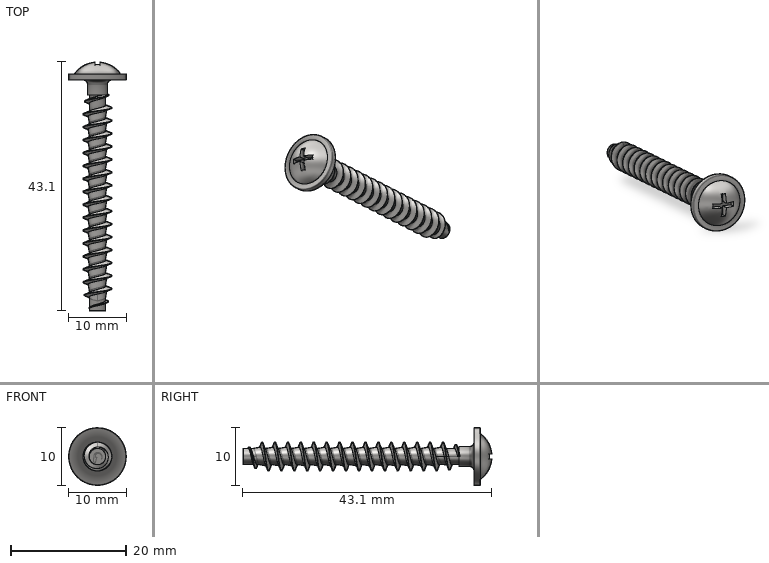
import cadquery as cq
import math


SCREW_LENGTH = 40.0
HEAD_HEIGHT = 3.15
FLANGE_RADIUS = 5.0
FLANGE_THICKNESS = 1.1
FLANGE_EDGE_ROUND = 0.1
DOME_RADIUS = 4.0

RECESS_SPAN = 4.0
RECESS_WING_WIDTH = 0.8
RECESS_DEPTH = 1.5

SHANK_RADIUS = 1.75
SHANK_LENGTH = 2.6
NECK_ROUND = 0.7

CORE_RADIUS = 1.42
THREAD_RADIUS = 2.5
START_RADIUS = 2.0
PITCH = 2.24
THREAD_START = 2.55
RUN_IN_TURNS = 1.0
MAIN_TURNS = 14.25
RUN_OUT_TURNS = 1.45
RUN_OUT_TAPER = 20.3
CREST_WIDTH = 0.1
FLANK_ANGLE = 20.0
ROOT_RADIUS = 1.64
ROOT_DEPTH = 0.04
TURN_GAP = 0.02
NO_TAPER = 360.0


def revolve(outline):
    """Turn a half outline drawn in the XZ plane about the Z axis."""
    return outline.close().revolve(360, (0, 0, 0), (0, 1, 0))


def make_head():
    sphere_radius = dome_sphere_radius()
    flange = (
        cq.Workplane("XY")
        .circle(FLANGE_RADIUS)
        .extrude(-FLANGE_THICKNESS)
        .edges()
        .fillet(FLANGE_EDGE_ROUND)
    )
    middle_angle = 0.5 * math.asin(DOME_RADIUS / sphere_radius)
    middle_x = sphere_radius * math.sin(middle_angle)
    middle_z = -HEAD_HEIGHT + sphere_radius * (1 - math.cos(middle_angle))
    dome = revolve(
        cq.Workplane("XZ")
        .moveTo(0, -HEAD_HEIGHT)
        .threePointArc((middle_x, middle_z), (DOME_RADIUS, -FLANGE_THICKNESS))
        .lineTo(DOME_RADIUS, -FLANGE_THICKNESS / 2)
        .lineTo(0, -FLANGE_THICKNESS / 2)
    )
    return flange.union(dome)


def dome_sphere_radius():
    """Radius of the sphere through the dome's top and its rim."""
    dome_height = HEAD_HEIGHT - FLANGE_THICKNESS
    return (DOME_RADIUS**2 + dome_height**2) / (2 * dome_height)


def make_recess():
    wings = cq.Workplane("XY", origin=(0, 0, -HEAD_HEIGHT))
    along_x = wings.rect(RECESS_SPAN, RECESS_WING_WIDTH).extrude(RECESS_DEPTH)
    along_y = wings.rect(RECESS_WING_WIDTH, RECESS_SPAN).extrude(RECESS_DEPTH)
    return along_x.union(along_y)


def make_shank_and_core():
    neck_radius = SHANK_RADIUS + NECK_ROUND
    arc_offset = NECK_ROUND * (1 - math.sqrt(0.5))
    return revolve(
        cq.Workplane("XZ")
        .moveTo(0, -FLANGE_THICKNESS / 2)
        .lineTo(neck_radius, -FLANGE_THICKNESS / 2)
        .lineTo(neck_radius, 0)
        .threePointArc((SHANK_RADIUS + arc_offset, arc_offset), (SHANK_RADIUS, NECK_ROUND))
        .lineTo(SHANK_RADIUS, SHANK_LENGTH)
        .lineTo(CORE_RADIUS, SHANK_LENGTH)
        .lineTo(CORE_RADIUS, SCREW_LENGTH)
        .lineTo(0, SCREW_LENGTH)
    )


def thread_section(crest_radius, crest_z):
    """Thread section in the XZ plane.

    Behind the tip-side flank it slopes down to the core, so the core surface
    between two turns is slightly conical.
    """
    flank_slope = math.tan(math.radians(FLANK_ANGLE))
    half_crest = CREST_WIDTH / 2
    thread_depth = THREAD_RADIUS - CORE_RADIUS + ROOT_DEPTH
    foot_depth = THREAD_RADIUS - ROOT_RADIUS
    head_foot = half_crest + thread_depth * flank_slope
    tip_foot = half_crest + foot_depth * flank_slope
    slope_end = PITCH - head_foot - TURN_GAP
    return (
        cq.Workplane("XZ", origin=(crest_radius, 0, crest_z))
        .moveTo(-thread_depth, -head_foot)
        .lineTo(0, -half_crest)
        .lineTo(0, half_crest)
        .lineTo(-foot_depth, tip_foot)
        .lineTo(-thread_depth, slope_end)
        .close()
    )


def make_thread_stretch(turns_before, turns, crest_radius, taper=NO_TAPER):
    """Sweep the section along a helix that widens by the taper angle (narrows if negative).

    The stretch starts a number of turns after the start of the whole thread.
    """
    start_z = THREAD_START + turns_before * PITCH
    cone_pitch = PITCH / math.cos(math.radians(taper))
    helix = cq.Wire.makeHelix(
        cone_pitch, turns * cone_pitch, crest_radius, cq.Vector(0, 0, start_z), angle=taper
    )
    stretch = thread_section(crest_radius, start_z).sweep(cq.Workplane(obj=helix), isFrenet=True)
    return stretch.rotate((0, 0, 0), (0, 0, 1), 360 * turns_before)


def make_thread_stretches():
    run_in_growth = THREAD_RADIUS - START_RADIUS
    run_in_taper = math.degrees(math.atan2(run_in_growth, RUN_IN_TURNS * PITCH))
    run_in = make_thread_stretch(0, RUN_IN_TURNS, START_RADIUS, run_in_taper)
    main = make_thread_stretch(RUN_IN_TURNS, MAIN_TURNS, THREAD_RADIUS)
    run_out = make_thread_stretch(
        RUN_IN_TURNS + MAIN_TURNS, RUN_OUT_TURNS, THREAD_RADIUS, -RUN_OUT_TAPER
    )
    within_length = cq.Workplane("XY").circle(FLANGE_RADIUS).extrude(SCREW_LENGTH)
    return [main, run_out.intersect(within_length), run_in]


screw = make_head().cut(make_recess()).union(make_shank_and_core())
for stretch in make_thread_stretches():
    screw = screw.union(stretch)
result = screw.rotate((0, 0, 0), (1, 0, 0), 90)